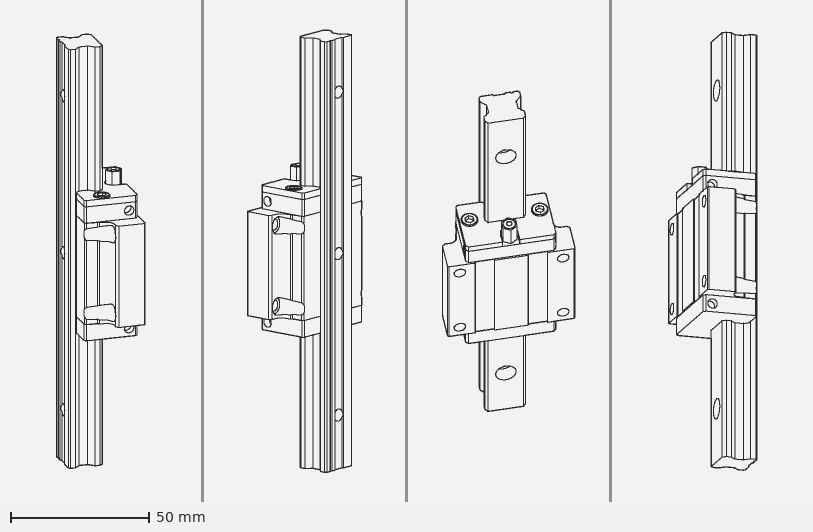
import cadquery as cq
import math


RAIL_LENGTH = 160
RAIL_HALF_WIDTH = 7.5
RAIL_HEIGHT = 13.1
RAIL_TOP_HALF_WIDTH = 6.5
RAIL_HEAD_SHOULDER_Y = 11.8
RAIL_HEAD_BOTTOM_Y = 10.0
RACEWAY_OUTER_HALF_WIDTH = 6.7
RACEWAY_TOP_Y = 9.3
RACEWAY_INNER_HALF_WIDTH = 5.8
RACEWAY_BOTTOM_Y = 8.3
WEB_HALF_WIDTH = 5.5
WEB_TOP_Y = 7.8
WEB_BOTTOM_Y = 4.6
FOOT_TOP_Y = 2.5
FOOT_CHAMFER = 0.6

BASE_RELIEF_WIDTH = 4.8
BASE_RELIEF_FLOOR_WIDTH = 3.8
BASE_RELIEF_DEPTH = 0.5
MARK_GROOVE_X = -4.6
MARK_GROOVE_RADIUS = 0.5

RAIL_HOLE_PITCH = 60.0
RAIL_HOLE_DIAMETER = 4.5
RAIL_COUNTERBORE_DIAMETER = 7.5
RAIL_COUNTERBORE_DEPTH = 5.3

BLOCK_LENGTH = 38.7
BLOCK_CENTER_Z = -3.0
BLOCK_BOTTOM_Z = BLOCK_CENTER_Z - BLOCK_LENGTH / 2
BLOCK_TOP_Z = BLOCK_CENTER_Z + BLOCK_LENGTH / 2
CARRIAGE_BOTTOM_Y = 3.0
BLOCK_TOP_Y = 24
FLANGE_HALF_WIDTH = 23.5
FLANGE_BOTTOM_Y = 13.0
FLANGE_TOP_CHAMFER = 0.5
FLANGE_CHAMFER_WIDTH = 1.1
FLANGE_CHAMFER_HEIGHT = 0.8
FILLET_START_X = 20.5
FILLET_END_X = 17.8
FILLET_END_Y = 10.4
BODY_LEDGE_OUTER_X = 17.5
BODY_LEDGE_TOP_Y = 8.3
BODY_LEDGE_INNER_X = 17.1
BODY_LEDGE_BOTTOM_Y = 7.8
BODY_LOWER_X = 16.8
BODY_CHAMFER = 0.6

PAD_HALF_WIDTH = 6.2
TOP_RELIEF_OUTER_X = 13.3
TOP_RELIEF_DEPTH = 0.5

MOUNT_HOLE_X = 19.0
MOUNT_HOLE_PITCH_Z = 30.0
MOUNT_HOLE_DIAMETER = 4.2
SPOTFACE_DIAMETER = 6.4
SPOTFACE_DEPTH = 2.0

CAP_LENGTH = 6.2
SEAL_THICKNESS = 2.4
CAP_HALF_WIDTH = 16.6
CAP_TOP_Y = 23.4
CAP_TOP_CHAMFER = 1.0
CAP_BOTTOM_CHAMFER = 0.6
CAP_PORT_Y = 20.0
CAP_PORT_DIAMETER = 3.5
CAP_PORT_DEPTH = 3.2
SEAL_BOTTOM_Z = BLOCK_TOP_Z + CAP_LENGTH
SEAL_TOP_Z = SEAL_BOTTOM_Z + SEAL_THICKNESS

SCREW_X = 13.0
SCREW_Y = 10.7
SCREW_HEAD_DIAMETER = 6.0
SCREW_HEAD_HEIGHT = 0.5
SCREW_HEAD_TOP_DIAMETER = 5.5
SCREW_HEAD_BEVEL_HEIGHT = 0.3
SCREW_SOCKET_DIAMETER = 3.4
SCREW_SOCKET_DEPTH = 1.6

NIPPLE_Y = 19.5
NIPPLE_SLOT_WIDTH = 6.4
NIPPLE_HEX_DIAMETER = 6.0
NIPPLE_HEX_HEIGHT_ABOVE_SEAL = 5.0
NIPPLE_FACE_DIAMETER = 4.5
NIPPLE_FACE_HEIGHT = 0.2
NIPPLE_TIP_DIAMETER = 2.0
NIPPLE_TIP_HEIGHT = 0.5
NIPPLE_TIP_FILLET = 0.3


def mirrored_profile(right_side):
    """Closed sketch from the points of the right half, listed from bottom to top."""
    left_side = [(-x, y) for x, y in reversed(right_side)]
    return cq.Workplane("XY").polyline(right_side + left_side).close()


def cylinders_along_y(places, diameter, start_y, end_y):
    """Cylinders in the Y direction, centred on the given (X, Z) places."""
    return (
        cq.Workplane("XZ", origin=(0, start_y, 0))
        .pushPoints(places)
        .circle(diameter / 2)
        .extrude(start_y - end_y)
    )


def rail_bar():
    """Plain rail section over the full length, also used to cut the carriage channel."""
    right_side = [
        (RAIL_HALF_WIDTH - FOOT_CHAMFER, 0),
        (RAIL_HALF_WIDTH, FOOT_CHAMFER),
        (RAIL_HALF_WIDTH, FOOT_TOP_Y),
        (WEB_HALF_WIDTH, WEB_BOTTOM_Y),
        (WEB_HALF_WIDTH, WEB_TOP_Y),
        (RACEWAY_INNER_HALF_WIDTH, RACEWAY_BOTTOM_Y),
        (RACEWAY_OUTER_HALF_WIDTH, RACEWAY_TOP_Y),
        (RAIL_HALF_WIDTH, RAIL_HEAD_BOTTOM_Y),
        (RAIL_HALF_WIDTH, RAIL_HEAD_SHOULDER_Y),
        (RAIL_TOP_HALF_WIDTH, RAIL_HEIGHT),
    ]
    return mirrored_profile(right_side).extrude(RAIL_LENGTH / 2, both=True)


def make_rail():
    base_relief = mirrored_profile(
        [(BASE_RELIEF_WIDTH / 2, 0), (BASE_RELIEF_FLOOR_WIDTH / 2, BASE_RELIEF_DEPTH)]
    ).extrude(RAIL_LENGTH / 2, both=True)
    mark_groove = (
        cq.Workplane("XY")
        .center(MARK_GROOVE_X, 0)
        .circle(MARK_GROOVE_RADIUS)
        .extrude(RAIL_LENGTH / 2, both=True)
    )
    hole_places = [(0, i * RAIL_HOLE_PITCH) for i in (-1, 0, 1)]
    counterbore_floor_y = RAIL_HEIGHT - RAIL_COUNTERBORE_DEPTH
    holes = cylinders_along_y(hole_places, RAIL_HOLE_DIAMETER, 0, RAIL_HEIGHT)
    counterbores = cylinders_along_y(
        hole_places, RAIL_COUNTERBORE_DIAMETER, counterbore_floor_y, RAIL_HEIGHT
    )
    return rail_bar().cut(base_relief).cut(mark_groove).cut(holes).cut(counterbores)


def half_block_section():
    """Right half of the block section, closed along X = 0."""
    fillet_width = FILLET_START_X - FILLET_END_X
    fillet_height = FLANGE_BOTTOM_Y - FILLET_END_Y
    fillet_middle = (
        FILLET_START_X - fillet_width * math.sin(math.pi / 4),
        FILLET_END_Y + fillet_height * math.sin(math.pi / 4),
    )
    relief_y = BLOCK_TOP_Y - TOP_RELIEF_DEPTH
    return (
        cq.Workplane("XY")
        .moveTo(0, CARRIAGE_BOTTOM_Y)
        .lineTo(BODY_LOWER_X - BODY_CHAMFER, CARRIAGE_BOTTOM_Y)
        .lineTo(BODY_LOWER_X, CARRIAGE_BOTTOM_Y + BODY_CHAMFER)
        .lineTo(BODY_LEDGE_INNER_X, BODY_LEDGE_BOTTOM_Y)
        .lineTo(BODY_LEDGE_OUTER_X, BODY_LEDGE_TOP_Y)
        .lineTo(FILLET_END_X, FILLET_END_Y)
        .threePointArc(fillet_middle, (FILLET_START_X, FLANGE_BOTTOM_Y))
        .lineTo(FLANGE_HALF_WIDTH - FLANGE_CHAMFER_WIDTH, FLANGE_BOTTOM_Y)
        .lineTo(FLANGE_HALF_WIDTH, FLANGE_BOTTOM_Y + FLANGE_CHAMFER_HEIGHT)
        .lineTo(FLANGE_HALF_WIDTH, BLOCK_TOP_Y - FLANGE_TOP_CHAMFER)
        .lineTo(FLANGE_HALF_WIDTH - FLANGE_TOP_CHAMFER, BLOCK_TOP_Y)
        .lineTo(TOP_RELIEF_OUTER_X, BLOCK_TOP_Y)
        .lineTo(TOP_RELIEF_OUTER_X, relief_y)
        .lineTo(PAD_HALF_WIDTH, relief_y)
        .lineTo(PAD_HALF_WIDTH, BLOCK_TOP_Y)
        .lineTo(0, BLOCK_TOP_Y)
        .close()
    )


def make_block():
    half = half_block_section().extrude(BLOCK_LENGTH).translate((0, 0, BLOCK_BOTTOM_Z))
    block = half.union(half.mirror("YZ")).cut(rail_bar())
    hole_places = [
        (x, BLOCK_CENTER_Z + z)
        for x in (-MOUNT_HOLE_X, MOUNT_HOLE_X)
        for z in (-MOUNT_HOLE_PITCH_Z / 2, MOUNT_HOLE_PITCH_Z / 2)
    ]
    spotface_y = FLANGE_BOTTOM_Y + SPOTFACE_DEPTH
    holes = cylinders_along_y(hole_places, MOUNT_HOLE_DIAMETER, 0, BLOCK_TOP_Y)
    spotfaces = cylinders_along_y(hole_places, SPOTFACE_DIAMETER, 0, spotface_y)
    return block.cut(holes).cut(spotfaces)


def end_plate(bottom_z, thickness):
    """Chamfered plate that straddles the rail."""
    height = CAP_TOP_Y - CARRIAGE_BOTTOM_Y
    plate = (
        cq.Workplane("XY", origin=(0, CARRIAGE_BOTTOM_Y + height / 2, bottom_z))
        .rect(2 * CAP_HALF_WIDTH, height)
        .extrude(thickness)
        .edges("|Z and >Y")
        .chamfer(CAP_TOP_CHAMFER)
        .edges("|Z and <Y")
        .chamfer(CAP_BOTTOM_CHAMFER)
    )
    return plate.cut(rail_bar())


def make_end_cap(bottom_z):
    port_z = bottom_z + CAP_LENGTH / 2
    cap = end_plate(bottom_z, CAP_LENGTH)
    for side in (-1, 1):
        port = (
            cq.Workplane("YZ", origin=(side * CAP_HALF_WIDTH, CAP_PORT_Y, port_z))
            .circle(CAP_PORT_DIAMETER / 2)
            .extrude(-side * CAP_PORT_DEPTH)
        )
        cap = cap.cut(port)
    return cap


def make_seal():
    """Seal plate with two screw heads and a slot, open at the top edge, for the nipple."""
    seal = end_plate(SEAL_BOTTOM_Z, SEAL_THICKNESS)
    slot_plane = cq.Workplane("XY", origin=(0, NIPPLE_Y, SEAL_BOTTOM_Z))
    slot_end = slot_plane.circle(NIPPLE_SLOT_WIDTH / 2).extrude(SEAL_THICKNESS)
    slot_mouth_height = CAP_TOP_Y - NIPPLE_Y
    slot_mouth = (
        slot_plane.center(0, slot_mouth_height / 2)
        .rect(NIPPLE_SLOT_WIDTH, slot_mouth_height)
        .extrude(SEAL_THICKNESS)
    )
    seal = seal.cut(slot_end).cut(slot_mouth)

    screw_places = [(-SCREW_X, SCREW_Y), (SCREW_X, SCREW_Y)]
    heads = (
        cq.Workplane("XY", origin=(0, 0, SEAL_TOP_Z))
        .pushPoints(screw_places)
        .circle(SCREW_HEAD_DIAMETER / 2)
        .extrude(SCREW_HEAD_HEIGHT)
        .faces(">Z")
        .chamfer(SCREW_HEAD_BEVEL_HEIGHT, (SCREW_HEAD_DIAMETER - SCREW_HEAD_TOP_DIAMETER) / 2)
    )
    seal = seal.union(heads)
    for x, y in screw_places:
        socket = (
            cq.Workplane("XY", origin=(x, y, SEAL_TOP_Z + SCREW_HEAD_HEIGHT))
            .transformed(rotate=(0, 0, 90))
            .polygon(6, SCREW_SOCKET_DIAMETER)
            .extrude(-SCREW_SOCKET_DEPTH)
        )
        seal = seal.cut(socket)
    return seal


def make_nipple():
    """Hexagonal nipple standing on the upper cap, with two corners in the Y direction."""
    hexagon_top_z = SEAL_TOP_Z + NIPPLE_HEX_HEIGHT_ABOVE_SEAL
    hexagon = (
        cq.Workplane("XY", origin=(0, NIPPLE_Y, SEAL_BOTTOM_Z))
        .transformed(rotate=(0, 0, 90))
        .polygon(6, NIPPLE_HEX_DIAMETER)
        .extrude(hexagon_top_z - SEAL_BOTTOM_Z)
    )
    round_face = (
        cq.Workplane("XY", origin=(0, NIPPLE_Y, hexagon_top_z))
        .circle(NIPPLE_FACE_DIAMETER / 2)
        .extrude(NIPPLE_FACE_HEIGHT)
    )
    tip = (
        cq.Workplane("XY", origin=(0, NIPPLE_Y, hexagon_top_z + NIPPLE_FACE_HEIGHT))
        .circle(NIPPLE_TIP_DIAMETER / 2)
        .extrude(NIPPLE_TIP_HEIGHT)
        .faces(">Z")
        .edges()
        .fillet(NIPPLE_TIP_FILLET)
    )
    return hexagon.union(round_face).union(tip)


rail = make_rail()
block = make_block()
end_caps = [make_end_cap(z) for z in (BLOCK_BOTTOM_Z - CAP_LENGTH, BLOCK_TOP_Z)]
seal = make_seal()
nipple = make_nipple()

result = cq.Compound.makeCompound(
    [rail.val(), block.val(), *[cap.val() for cap in end_caps], seal.val(), nipple.val()]
)